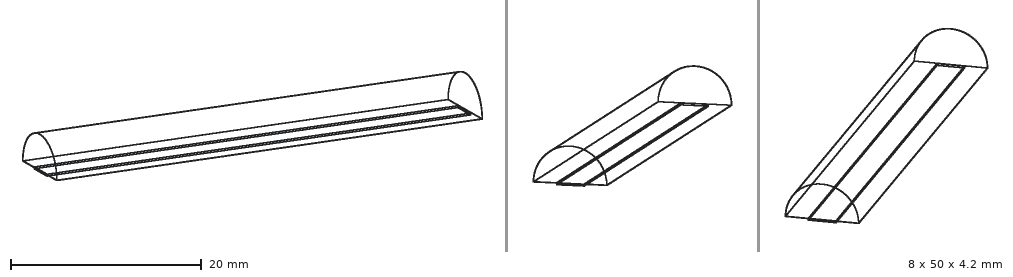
import cadquery as cq

length = 50.0
radius = 4.0
rib_width = 3.0
rib_depth = 0.2
rib_end_inset = 0.1


def half_round_bar():
    """Half cylinder along Y, with its flat face on Z = 0."""
    return (
        cq.Workplane("XZ")
        .moveTo(-radius, 0)
        .threePointArc((0, radius), (radius, 0))
        .close()
        .extrude(length / 2, both=True)
    )


def bottom_rib():
    """Shallow rib under the flat face, stopping just short of both ends."""
    rib_length = length - 2 * rib_end_inset
    return cq.Workplane("XY").rect(rib_width, rib_length).extrude(-rib_depth)


result = half_round_bar().union(bottom_rib())